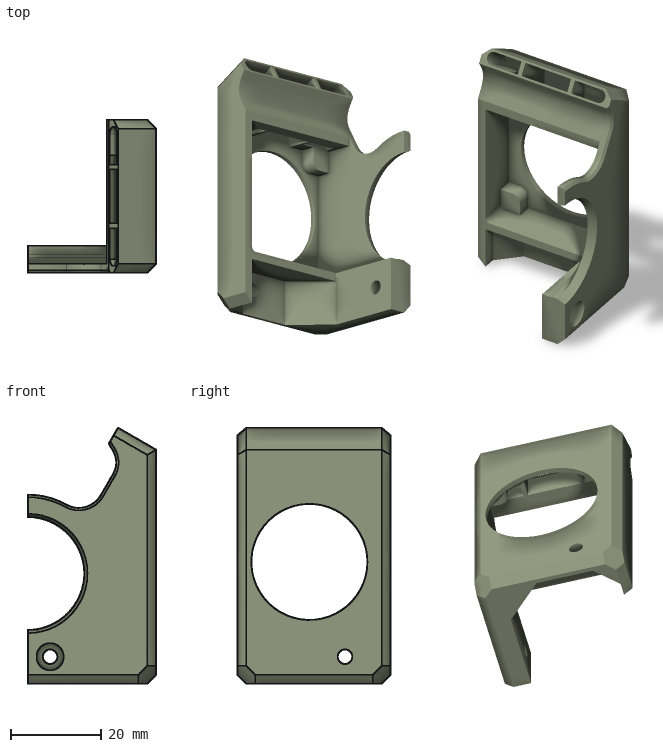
import cadquery as cq
import math

length_x = 28.5
depth_y = 34.0
height_z = 56.85
wall = 2.0
edge_chamfer = 2.0
rim_chamfer = 0.55
tolerance = 0.05

housing_x = 17.5
peak_x = 20.0
roof_angle = math.radians(30)

lens_z = 24.5
lens_radius_front = 13.25
lens_radius_back = 12.5
collar_radius = 17.5
valley_radius = 5.7
throat_radius = 5.1
mouth_length = 4.1
throat_top_z = 51.7

pocket_top_z = 42.0
pocket_floor_z = 11.9
pocket_back_x = 27.3
pocket_corner_radius = 1.15
intake_diameter = 25.7
intake_y = 16.0
intake_z = 27.05
pad_size = 5.0
pad_front_x = 23.8
pad_corner_radius = 2.0

ledge_rise = 0.15
ledge_end_y = 3.45
ledge_foot_y = 4.1

foot_depth = 6.0
recess_top_z = 10.0
recess_back_x = 25.55
recess_rear_bevel = 5.0

screw_diameter = 3.2
counterbore_diameter = 6.0
counterbore_depth = 3.0
screw_z = 6.0
front_screw_x = 4.95
side_screw_y = 23.9

mouth_margin = 0.5
duct_width = 30.95
duct_center_y = depth_y / 2
rib_width = 1.0
rib_positions = (10.45, 23.5)
duct_back_x = 28.0
plenum_end_y = 26.15
plenum_front_x = 21.5


def polar(point, distance, angle):
    """Point at a distance and angle from another point in the XZ plane."""
    return (point[0] + distance * math.cos(angle), point[1] + distance * math.sin(angle))


def box(x_range, y_range, z_range):
    """Axis-aligned box from its limits."""
    size = [high - low for low, high in (x_range, y_range, z_range)]
    return cq.Workplane("XY").box(*size, centered=False).translate((x_range[0], y_range[0], z_range[0]))


def along_y(section_points, y_start, y_end):
    """Prism with an XZ polygon section between two Y positions."""
    section = cq.Workplane("XZ", origin=(0, y_start, 0)).polyline(section_points).close()
    return section.extrude(y_start - y_end)


steep = math.radians(60)
peak = (peak_x, height_z)
roof_end = (length_x, height_z - (length_x - peak_x) * math.tan(roof_angle))
tip = polar(peak, mouth_length, steep + math.pi)
throat_start = (tip[0] + (tip[1] - throat_top_z) / math.tan(steep), throat_top_z)
throat_center = (throat_start[0] - throat_radius * math.cos(roof_angle), throat_top_z - throat_radius / 2)
throat_middle = (throat_center[0] + throat_radius, throat_center[1])
throat_end = (throat_start[0], throat_top_z - throat_radius)

collar_center = (0, lens_z)
valley_guide = polar(throat_end, valley_radius, steep + math.pi / 2)
guide_offset = (valley_guide[0] - collar_center[0], valley_guide[1] - collar_center[1])
along_line = guide_offset[0] * math.cos(steep) + guide_offset[1] * math.sin(steep)
center_distance = collar_radius + valley_radius
slide = -along_line + math.sqrt(along_line**2 - math.hypot(*guide_offset) ** 2 + center_distance**2)
valley_center = polar(valley_guide, slide, steep)
valley_start = polar(throat_end, slide, steep)
valley_bottom = (valley_center[0], valley_center[1] - valley_radius)
collar_angle = math.atan2(valley_center[1] - lens_z, valley_center[0])
collar_start = polar(collar_center, collar_radius, collar_angle)
collar_middle = polar(collar_center, collar_radius, (collar_angle + math.pi / 2) / 2)
collar_end = (0, lens_z + collar_radius)


def make_body():
    """Full-depth solid of the side outline with its outer edges beveled."""
    outline = (
        cq.Workplane("XZ")
        .moveTo(0, 0)
        .lineTo(length_x, 0)
        .lineTo(*roof_end)
        .lineTo(*peak)
        .lineTo(*tip)
        .lineTo(*throat_start)
        .threePointArc(throat_middle, throat_end)
        .lineTo(*valley_start)
        .threePointArc(valley_bottom, collar_start)
        .threePointArc(collar_middle, collar_end)
        .close()
    )
    body = outline.extrude(-depth_y)

    for y in (0, depth_y):
        edge_middles = (
            cq.Vector(length_x / 2, y, 0),
            cq.Vector(length_x, y, roof_end[1] / 2),
            cq.Vector((peak[0] + roof_end[0]) / 2, y, (peak[1] + roof_end[1]) / 2),
        )
        edges = [
            edge
            for edge in body.edges("%LINE").vals()
            if any((edge.Center() - middle).Length < tolerance for middle in edge_middles)
        ]
        body = body.newObject(edges).chamfer(edge_chamfer)

    rim_low = (tolerance, -tolerance, lens_z + lens_radius_front)
    rim_high = (throat_middle[0] + tolerance, tolerance, (tip[1] + throat_top_z) / 2 + tolerance)
    return body.edges(cq.selectors.BoxSelector(rim_low, rim_high)).chamfer(rim_chamfer)


def lower_corner_cuts():
    """Bevel of the lower +X corner, and the flat that blends it into the front and rear bevels."""
    bevel_x = length_x - edge_chamfer
    cuts = along_y([(bevel_x, 0), (length_x, 0), (length_x, edge_chamfer)], 0, depth_y)
    blend = 3 * edge_chamfer
    apex = (length_x, 0, 0)
    front_legs = ((length_x - blend, 0, 0), (length_x, 0, blend), (length_x, blend, 0))
    for mirrored in (False, True):
        corners = [apex, *front_legs]
        if mirrored:
            corners = [(x, depth_y - y, z) for x, y, z in corners]
        vertices = [cq.Vector(*corner) for corner in corners]
        faces = []
        for skipped in range(4):
            triangle = [vertices[i] for i in range(4) if i != skipped]
            faces.append(cq.Face.makeFromWires(cq.Wire.makePolygon(triangle, close=True)))
        cuts = cuts.union(cq.Workplane(cq.Solid.makeSolid(cq.Shell.makeShell(faces))))
    return cuts


def lens_opening():
    """Conical opening through the front plate, centered on the -X edge."""
    cone = cq.Solid.makeCone(
        lens_radius_front, lens_radius_back, wall, pnt=cq.Vector(0, 0, lens_z), dir=cq.Vector(0, 1, 0)
    )
    return cq.Workplane(cone)


def space_beside_housing():
    """Everything on the -X side of the housing, except the front plate and its thick foot."""
    space = box((0, housing_x), (wall, depth_y), (0, height_z))
    return space.cut(box((0, housing_x), (wall, foot_depth), (0, pocket_floor_z)))


def floor_ledge():
    """Raised strip with a sloped end on the foot and the pocket floor."""
    section = [
        (0, 0),
        (ledge_end_y - wall, 0),
        (ledge_foot_y - wall, -ledge_rise),
        (0, -ledge_rise),
    ]
    plane = cq.Workplane("YZ", origin=(0, wall, pocket_floor_z + ledge_rise))
    return plane.polyline(section).close().extrude(pocket_back_x)


def corner_pad(y_range, z_range, rounded_edge):
    """Square fan seat in a pocket corner with its inward edge rounded."""
    pad = box((pad_front_x, pocket_back_x), y_range, z_range)
    return pad.edges("|X").edges(rounded_edge).fillet(pad_corner_radius)


def fan_pocket():
    """Square pocket open to -X, keeping two seats in opposite corners, plus the intake hole."""
    near_y, far_y = wall, depth_y - wall
    pocket = box((housing_x, pocket_back_x), (near_y, far_y), (pocket_floor_z, pocket_top_z))
    pocket = pocket.edges("|X and >Y and <Z").fillet(pocket_corner_radius)
    upper_pad = corner_pad((near_y, near_y + pad_size), (pocket_top_z - pad_size, pocket_top_z), ">Y and <Z")
    lower_pad_top_z = pocket_floor_z + ledge_rise + pad_size
    lower_pad = corner_pad((far_y - pad_size, far_y), (pocket_floor_z, lower_pad_top_z), "<Y and >Z")
    intake = cq.Workplane("YZ", origin=(pocket_back_x, intake_y, intake_z)).circle(intake_diameter / 2)
    return pocket.cut(upper_pad).cut(lower_pad).union(intake.extrude(length_x - pocket_back_x))


def lower_recess():
    """Recess under the fan pocket, open to -X and downwards, with 45 degree ends."""
    rear_y = depth_y - wall
    section = [
        (housing_x, foot_depth),
        (recess_back_x, foot_depth + recess_back_x - housing_x),
        (recess_back_x, rear_y - recess_rear_bevel),
        (recess_back_x - recess_rear_bevel, rear_y),
        (housing_x, rear_y),
    ]
    return cq.Workplane("XY").polyline(section).close().extrude(recess_top_z)


def screw_holes():
    """Counterbored hole through the foot and a plain hole through the +X wall."""
    plane = cq.Workplane("XZ", origin=(front_screw_x, 0, screw_z))
    front = plane.circle(screw_diameter / 2).extrude(-foot_depth)
    front = front.union(plane.circle(counterbore_diameter / 2).extrude(-counterbore_depth))
    side_plane = cq.Workplane("YZ", origin=(recess_back_x, side_screw_y, screw_z))
    return front.union(side_plane.circle(screw_diameter / 2).extrude(length_x - recess_back_x))


def air_duct():
    """Rounded slot running parallel to the roof, turning down into the fan pocket, split by two ribs."""
    mouth_center = ((peak[0] + tip[0]) / 2, (peak[1] + tip[1]) / 2)
    mouth_plane = cq.Plane(
        origin=(mouth_center[0], duct_center_y, mouth_center[1]),
        xDir=(0, 1, 0),
        normal=(math.cos(roof_angle), 0, -math.sin(roof_angle)),
    )
    slot_height = mouth_length - 2 * mouth_margin
    slot = cq.Workplane(mouth_plane).slot2D(duct_width, slot_height).extrude(length_x)

    lower_edge = polar(mouth_center, slot_height / 2, steep + math.pi)
    upper_edge = polar(mouth_center, slot_height / 2, steep)
    back_top_z = upper_edge[1] - (duct_back_x - upper_edge[0]) * math.tan(roof_angle)
    back_wall = (duct_back_x, back_top_z)
    slot = slot.intersect(box((0, length_x - wall), (0, depth_y), (0, height_z)))
    plenum_section = [
        lower_edge,
        (plenum_front_x, lower_edge[1] - (plenum_front_x - lower_edge[0]) * math.tan(steep)),
        (plenum_front_x, pocket_top_z),
        (pocket_back_x, pocket_top_z),
        back_wall,
        upper_edge,
    ]
    plenum_start_y = duct_center_y - (duct_width - slot_height) / 2
    duct = slot.union(along_y(plenum_section, plenum_start_y, plenum_end_y))
    duct = duct.cut(box((pad_front_x, length_x), (0, rib_positions[0]), (0, height_z)))
    for rib_y in rib_positions:
        rib_range = (rib_y - rib_width / 2, rib_y + rib_width / 2)
        duct = duct.cut(box((0, length_x), rib_range, (0, height_z)))
    return duct


result = (
    make_body()
    .cut(lower_corner_cuts())
    .cut(space_beside_housing())
    .cut(fan_pocket())
    .union(floor_ledge())
    .cut(lens_opening())
    .cut(lower_recess())
    .cut(screw_holes())
    .cut(air_duct())
)